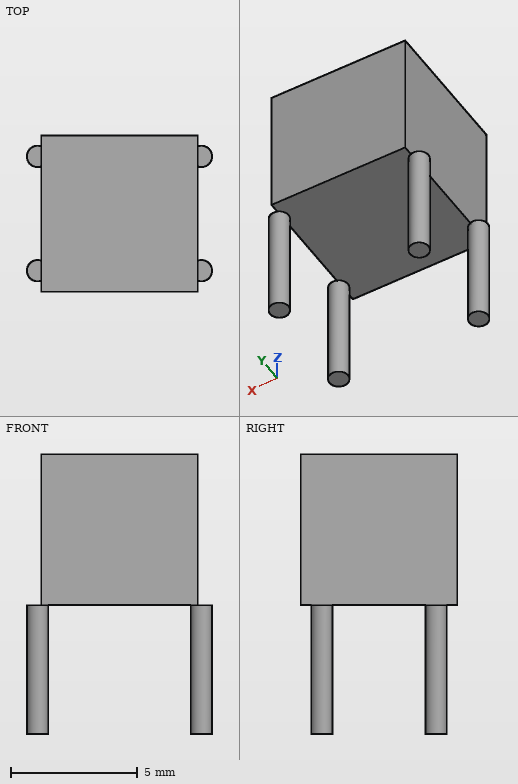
import cadquery as cq

housing_side = 6.2
housing_height = 5.99

overall_height = 11.1
pin_diameter = 0.85
pin_spacing_x = 6.49
pin_spacing_y = 4.53
pin_length = overall_height - housing_height


def make_housing():
    """Plain block with its underside on the plane Z = 0."""
    return cq.Workplane("XY").box(
        housing_side, housing_side, housing_height, centered=(True, True, False)
    )


def make_pin(x, y):
    """Straight pin hanging down from the plane of the housing underside."""
    return cq.Workplane("XY").center(x, y).circle(pin_diameter / 2).extrude(-pin_length)


housing = make_housing()

pins = []
for x_side in (-1, 1):
    for y_side in (-1, 1):
        pins.append(make_pin(x_side * pin_spacing_x / 2, y_side * pin_spacing_y / 2))

result = cq.Compound.makeCompound([housing.val(), *[pin.val() for pin in pins]])